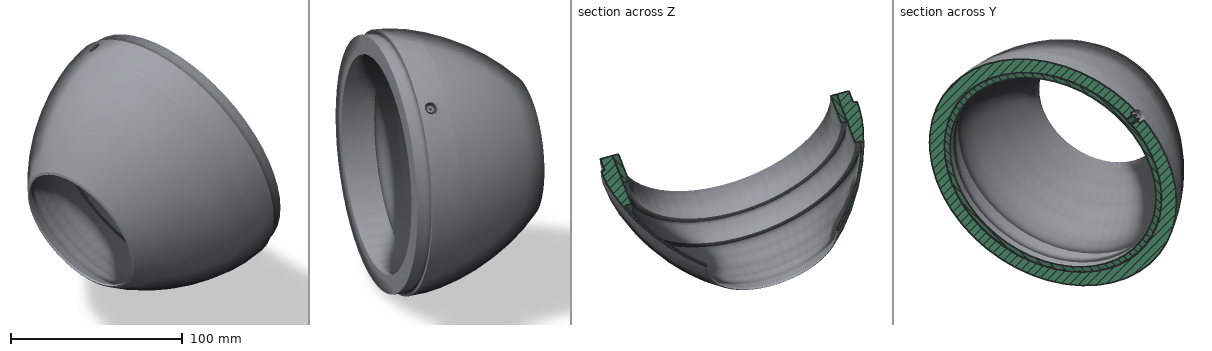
import cadquery as cq
import math


max_radius = 78.4
total_depth = 89.6
rim_radius = 152.3 / 2
rim_depth = 8.3
rear_zone_depth = 18.2
wall = 1.5
lip_edge_radius = 41.2
lip_edge_depth = 89.0
mouth_radius = 39.8
land_end_depth = 88.4

collar_depth = 35.3
bore_radius = 136.6 / 2

insert_inner_radius = 129.6 / 2
insert_depth = 19.9

groove_width = 1.5
groove_radius = 137.1 / 2
bridge_angle = 31.0
bridge_middle = -45.0

screw_angle = 134.5
screw_depth = 15.4
screw_diameter = 3.8
screw_top_radius = 76.2
socket_width = 2.4
socket_depth = 1.9
well_diameter = 7.7
well_floor_radius = 74.0

join_radius = math.sqrt(max_radius**2 - rear_zone_depth**2)
join_depth = rim_depth + rear_zone_depth
normal_r = join_radius / max_radius
normal_d = rear_zone_depth / max_radius
chord_r = lip_edge_radius - join_radius
chord_d = lip_edge_depth - join_depth
front_arc_radius = -(chord_r**2 + chord_d**2) / (2 * (chord_r * normal_r + chord_d * normal_d))
front_centre_r = join_radius - front_arc_radius * normal_r
front_centre_d = join_depth - front_arc_radius * normal_d


def dome_solid(end_depth, inset):
    """Solid dome up to a depth, with a surface that lies `inset` inside the outer one."""
    rear_radius = max_radius - inset
    front_radius = front_arc_radius - inset

    def rear_arc_point(depth):
        return (math.sqrt(rear_radius**2 - (depth - rim_depth) ** 2), -depth)

    def front_arc_point(depth):
        return (front_centre_r + math.sqrt(front_radius**2 - (depth - front_centre_d) ** 2), -depth)

    break_depth = rim_depth + rear_radius * normal_d
    return (
        cq.Workplane("XY")
        .moveTo(0, -rim_depth)
        .lineTo(rear_radius, -rim_depth)
        .threePointArc(rear_arc_point((rim_depth + break_depth) / 2), rear_arc_point(break_depth))
        .threePointArc(front_arc_point((break_depth + end_depth) / 2), front_arc_point(end_depth))
        .lineTo(0, -end_depth)
        .close()
        .revolve(360, (0, 0), (0, 1))
    )


def disc(radius, start_depth, end_depth):
    """Cylinder around the shade axis between two depths."""
    return cq.Workplane("XZ", origin=(0, -start_depth, 0)).circle(radius).extrude(end_depth - start_depth)


def screw_plane(radius):
    """Workplane across the screw axis, facing outwards, at a distance from the shade axis."""
    angle = math.radians(screw_angle)
    outward = cq.Vector(math.cos(angle), 0, math.sin(angle))
    origin = outward * radius - cq.Vector(0, screw_depth, 0)
    return cq.Workplane(cq.Plane(origin, (0, 1, 0), outward))


def screw_cylinder(diameter, inner_radius, outer_radius):
    """Cylinder on the screw axis between two distances from the shade axis."""
    return screw_plane(inner_radius).circle(diameter / 2).extrude(outer_radius - inner_radius)


def make_lip():
    """Bevel from the end of the dome to the mouth."""
    return (
        cq.Workplane("XZ", origin=(0, -lip_edge_depth, 0))
        .circle(lip_edge_radius)
        .workplane(offset=total_depth - lip_edge_depth)
        .circle(mouth_radius)
        .loft()
    )


def make_groove():
    """Cutter for the groove: a disc without the sector that forms the bridge."""
    reach = 2 * max_radius
    start = math.radians(bridge_middle - bridge_angle / 2)
    end = math.radians(bridge_middle + bridge_angle / 2)
    bridge = (
        cq.Workplane("XZ")
        .lineTo(reach * math.cos(start), reach * math.sin(start))
        .lineTo(reach * math.cos(end), reach * math.sin(end))
        .close()
        .extrude(total_depth)
    )
    return disc(groove_radius, insert_depth, insert_depth + groove_width).cut(bridge)


def make_shade():
    hollow = dome_solid(land_end_depth, wall).cut(disc(max_radius, 0, collar_depth))
    return (
        dome_solid(lip_edge_depth, 0)
        .union(disc(rim_radius, 0, rim_depth))
        .union(make_lip())
        .cut(hollow)
        .cut(disc(mouth_radius, collar_depth, total_depth))
        .cut(disc(bore_radius, 0, collar_depth))
        .cut(make_groove())
        .cut(screw_cylinder(well_diameter, well_floor_radius, max_radius))
        .cut(screw_cylinder(screw_diameter, insert_inner_radius, max_radius))
    )


def make_insert():
    return disc(bore_radius, 0, insert_depth).cut(disc(insert_inner_radius, 0, insert_depth))


def make_set_screw():
    """Screw with a hexagon socket; its inner end follows the outside of the insert."""
    shank = screw_cylinder(screw_diameter, insert_inner_radius, screw_top_radius)
    socket = screw_plane(screw_top_radius).polygon(6, socket_width).extrude(-socket_depth)
    return shank.cut(socket).cut(disc(bore_radius, 0, insert_depth))


shade = make_shade()
insert = make_insert()
set_screw = make_set_screw()

bodies = [shade, insert, set_screw]
result = cq.Compound.makeCompound([body.solids().val() for body in bodies])